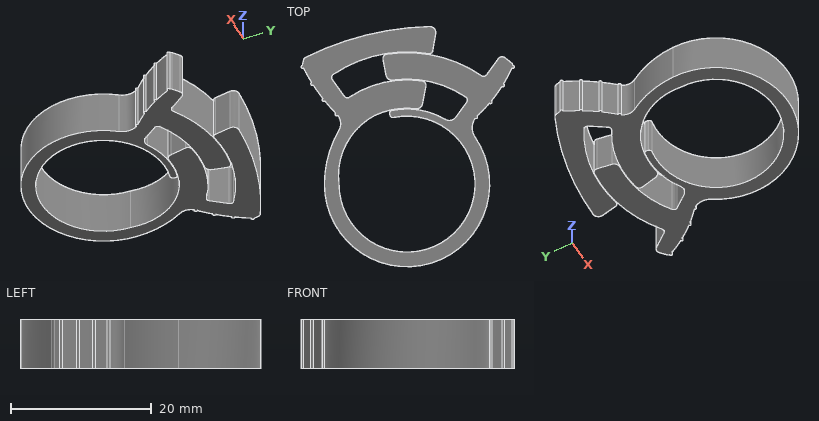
import cadquery as cq
import math


width = 7.0

ring_outer = 11.75
ring_inner = 9.65
swell_shift = 3.42
swell_radius = ring_outer + swell_shift
swell_centre = (swell_shift, 0)

clearance = 0.07
lip_outer = 10.7
low_hook_inner = lip_outer + clearance
low_hook_outer = 14.85
arm_inner = low_hook_outer + clearance
arm_outer = 18.7
top_hook_inner = arm_outer + clearance
tab_tip_radius = 22.73

right_root = 54.0
left_root = 125.5
left_hook_end = 79.0
arm_end = 180 - left_hook_end
lip_end = 104.0
mouth_start = 115.0
mouth_middle = 147.0
mouth_middle_radius = 10.32

top_centre = (4.27, -19.45)
top_radius = 41.87
top_left_angle = 116.9
top_right_angle = 90.0

right_flank_centre = (-4.38, 25.33)
right_flank_radius = 21.23
left_flank_centre = (8.17, 27.95)
left_flank_radius = 25.6
right_flank_middle = -39.0
left_flank_middle = -142.0
left_flank_top = -154.3

right_neck_angle = 45.0
left_neck_angle = 144.2
tab_outer_angle = 48.3

nub_radius = 0.25
nub_count = 4
right_nub_first = -24.1
right_nub_pitch = -8.0
left_nub_first = -153.8
left_nub_pitch = 6.2

right_neck_fillet = 2.4
left_neck_fillet = 1.9
lip_root_fillet = 1.13
large_end_fillet = 0.9
medium_end_fillet = 0.7
slot_fillet = 0.5
small_end_fillet = 0.4


def polar(radius, angle, centre=(0, 0)):
    turn = math.radians(angle)
    return (centre[0] + radius * math.cos(turn), centre[1] + radius * math.sin(turn))


def arc_to(path, radius, start, end, centre=(0, 0)):
    """Continue the path along a circular arc whose start is the current point."""
    return path.threePointArc(polar(radius, (start + end) / 2, centre), polar(radius, end, centre))


right_neck = polar(ring_outer, right_neck_angle)
left_neck = polar(swell_radius, left_neck_angle, swell_centre)
tab_inner_corner = polar(tab_tip_radius, right_root)
tab_outer_corner = polar(tab_tip_radius, tab_outer_angle)
top_left_corner = polar(top_radius, top_left_angle, top_centre)
top_right_corner = polar(top_radius, top_right_angle, top_centre)


def clamp_outline():
    path = cq.Workplane("XY").moveTo(*polar(lip_outer, lip_end))

    path = arc_to(path, lip_outer, lip_end, right_root)
    path = path.lineTo(*polar(arm_inner, right_root))
    path = arc_to(path, arm_inner, right_root, arm_end)
    path = path.lineTo(*polar(arm_outer, arm_end))
    path = arc_to(path, arm_outer, arm_end, right_root)
    path = path.lineTo(*tab_inner_corner)
    path = arc_to(path, tab_tip_radius, right_root, tab_outer_angle)
    right_middle = polar(right_flank_radius, right_flank_middle, right_flank_centre)
    path = path.threePointArc(right_middle, right_neck)

    path = arc_to(path, ring_outer, right_neck_angle, -180)
    path = arc_to(path, swell_radius, 180, left_neck_angle, swell_centre)

    left_middle = polar(left_flank_radius, left_flank_middle, left_flank_centre)
    left_top = polar(left_flank_radius, left_flank_top, left_flank_centre)
    path = path.threePointArc(left_middle, left_top)
    path = path.lineTo(*top_left_corner)
    path = arc_to(path, top_radius, top_left_angle, top_right_angle, top_centre)
    path = path.lineTo(*polar(top_hook_inner, left_hook_end))
    path = arc_to(path, top_hook_inner, left_hook_end, left_root)
    path = path.lineTo(*polar(low_hook_outer, left_root))
    path = arc_to(path, low_hook_outer, left_root, left_hook_end)
    path = path.lineTo(*polar(low_hook_inner, left_hook_end))
    path = arc_to(path, low_hook_inner, left_hook_end, mouth_start)

    path = path.threePointArc(polar(mouth_middle_radius, mouth_middle), (-ring_inner, 0))
    path = arc_to(path, ring_inner, -180, lip_end)
    return path.close()


def rounded_corners():
    """Each fillet radius with the outline corners it rounds."""
    return [
        (right_neck_fillet, [right_neck]),
        (left_neck_fillet, [left_neck]),
        (lip_root_fillet, [polar(lip_outer, right_root)]),
        (large_end_fillet, [
            top_right_corner,
            polar(arm_inner, arm_end),
            polar(low_hook_inner, left_hook_end),
        ]),
        (medium_end_fillet, [
            tab_inner_corner,
            top_left_corner,
            polar(arm_outer, arm_end),
            polar(low_hook_outer, left_hook_end),
        ]),
        (slot_fillet, [
            polar(arm_inner, right_root),
            polar(arm_outer, right_root),
            polar(top_hook_inner, left_hook_end),
            polar(top_hook_inner, left_root),
            polar(low_hook_outer, left_root),
        ]),
        (small_end_fillet, [
            tab_outer_corner,
            polar(lip_outer, lip_end),
            polar(ring_inner, lip_end),
        ]),
    ]


def round_corners(body):
    for radius, corners in rounded_corners():
        for x, y in corners:
            edge = cq.selectors.NearestToPointSelector((x, y, width / 2))
            body = body.edges("|Z").edges(edge).fillet(radius)
    return body


def nubs(centre, radius, first, pitch):
    places = [polar(radius, first + i * pitch, centre) for i in range(nub_count)]
    return cq.Workplane("XY").pushPoints(places).circle(nub_radius).extrude(width)


result = round_corners(clamp_outline().extrude(width))
result = result.union(nubs(right_flank_centre, right_flank_radius, right_nub_first, right_nub_pitch))
result = result.union(nubs(left_flank_centre, left_flank_radius, left_nub_first, left_nub_pitch))